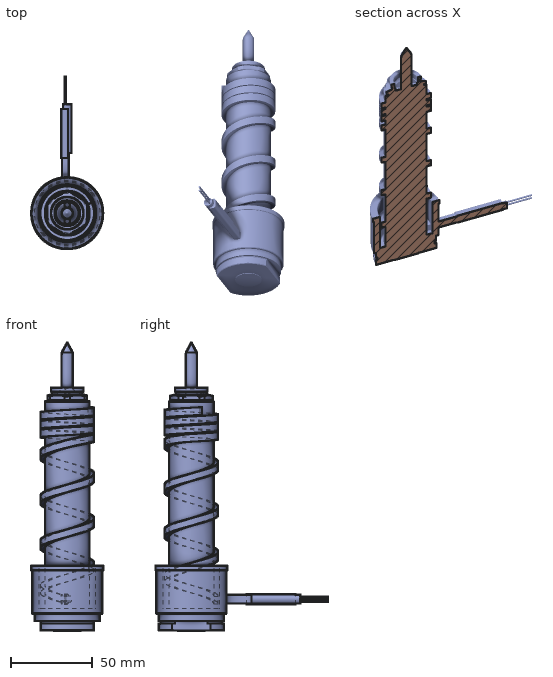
import math

import cadquery as cq

PAD_HEIGHT = 0.3
FOOT_TOP = 4.7
FOOT_GROOVE_TOP = 6.1
COLLAR_TOP = 10.6
CUP_FLOOR = 14.0
RIM_BOTTOM = 37.1
CUP_TOP = 40.2
TUBE_TOP = 140.4
HEX_BOTTOM = 141.0
HEX_SHOULDER = 143.6
HEX_TOP = 144.4
NECK_TOP = 146.0
FLOOR_CONE_TOP = 147.9
HEAD_TOP = 148.6
PIN_BAND_BOTTOM = 169.1
PIN_CONE_BOTTOM = 170.2
PIN_TIP = 176.3

PAD_RADIUS = 8.1
FOOT_RADIUS = 20.0
FOOT_GROOVE_RADIUS = 19.0
COLLAR_RADIUS = 20.0
CUP_RADIUS = 21.5
RIM_RADIUS = 22.0
CUP_BORE_RADIUS = 17.3
TUBE_RADIUS = 13.7
HEX_NECK_RADIUS = 12.0
HEX_CORNER_RADIUS = 13.1
NECK_RADIUS = 9.4
HEAD_RADIUS = 10.0
HEAD_BORE_RADIUS = 7.5
PIN_RADIUS = 3.5
PIN_CONE_RADIUS = 3.3

EDGE_CHAMFER = 0.4
RIM_CHAMFER = 0.3
FOOT_FLAT_WIDTH = 32.4
HEX_FLAT_WIDTH = 24.2

FLOOR_HOLE_RADIUS = 1.8
FLOOR_HOLE_OFFSET = 5.0
FLOOR_HOLE_DEPTH = 6.0

SPRING_OUTER_RADIUS = 16.4
SPRING_OVERLAP = 0.4
SPRING_INNER_RADIUS = TUBE_RADIUS - SPRING_OVERLAP
SPRING_BAND_HEIGHT = 4.7
TIGHT_PITCH = 5.35
OPEN_PITCH = 27.3
TIGHT_TURNS = 3 + 23 / 360
BLEND_TURNS = 0.3
OPEN_TURNS = 3.45
TIGHT_START_HEIGHT = 118.0
SPRING_POINTS_PER_TURN = 24

CABLE_HEIGHT = 19.6
CABLE_X = -1.15
CABLE_SIZE = (4.2, 5.4)
CABLE_CORNER_RADIUS = 0.9
CABLE_START_Y = 19.0
SLEEVE_LENGTH = 30.0
OUTER_SLEEVE_START_Y = 33.6
OUTER_SLEEVE_X = -1.55
OUTER_SLEEVE_SIZE = (4.2, 6.4)
OUTER_SLEEVE_CORNER_RADIUS = 1.0
ROUND_SLEEVE_START_Y = 36.6
ROUND_SLEEVE_RADIUS = 2.7
WIRE_RADIUS = 0.55
WIRE_SPACING = 2.3
WIRE_END_Y = 83.5


def cylinder(radius, bottom, top):
    return cq.Workplane("XY").workplane(offset=bottom).circle(radius).extrude(top - bottom)


def make_base():
    """Foot with two wrench flats, collar and the cup that holds the spring."""
    foot = cylinder(FOOT_RADIUS, PAD_HEIGHT, FOOT_TOP).faces("<Z").chamfer(EDGE_CHAMFER)
    foot = foot.union(cylinder(FOOT_GROOVE_RADIUS, FOOT_TOP, FOOT_GROOVE_TOP))
    flats = cq.Workplane("XY").box(
        FOOT_FLAT_WIDTH, 2 * FOOT_RADIUS, FOOT_GROOVE_TOP, centered=(True, True, False)
    )
    base = foot.intersect(flats)
    base = base.union(cylinder(PAD_RADIUS, 0, PAD_HEIGHT))
    base = base.union(cylinder(COLLAR_RADIUS, FOOT_GROOVE_TOP, COLLAR_TOP))
    cup = cylinder(CUP_RADIUS, COLLAR_TOP, RIM_BOTTOM).faces("<Z").chamfer(EDGE_CHAMFER)
    base = base.union(cup)
    rim = cylinder(RIM_RADIUS, RIM_BOTTOM, CUP_TOP).edges().chamfer(RIM_CHAMFER)
    base = base.union(rim).cut(cylinder(CUP_BORE_RADIUS, CUP_FLOOR, CUP_TOP))
    bore_mouth = cq.selectors.RadiusNthSelector(0)
    return base.faces(">Z").edges(bore_mouth).chamfer(EDGE_CHAMFER)


def make_tube():
    tube = cylinder(TUBE_RADIUS, CUP_FLOOR, TUBE_TOP).faces(">Z").chamfer(EDGE_CHAMFER)
    return tube.union(cylinder(HEX_NECK_RADIUS, TUBE_TOP, HEX_BOTTOM))


def make_hex():
    """Hexagon with corners on +Y and -Y, turned down at the corners and coned on top."""
    across_corners = HEX_FLAT_WIDTH / math.cos(math.pi / 6)
    prism = (
        cq.Workplane("XY")
        .workplane(offset=HEX_BOTTOM)
        .transformed(rotate=(0, 0, 90))
        .polygon(6, across_corners)
        .extrude(HEX_TOP - HEX_BOTTOM)
    )
    turned = (
        cq.Workplane("XZ")
        .moveTo(0, HEX_BOTTOM)
        .lineTo(HEX_CORNER_RADIUS, HEX_BOTTOM)
        .lineTo(HEX_CORNER_RADIUS, HEX_SHOULDER)
        .lineTo(HEAD_RADIUS, HEX_TOP)
        .lineTo(0, HEX_TOP)
        .close()
        .revolve(360, (0, 0, 0), (0, 1, 0))
    )
    return prism.intersect(turned)


def make_head():
    """Hollow head whose floor is a 45 degree cone rising to the foot of the pin."""
    floor = FLOOR_CONE_TOP - (HEAD_BORE_RADIUS - PIN_RADIUS)
    profile = (
        cq.Workplane("XZ")
        .moveTo(0, HEX_BOTTOM)
        .lineTo(NECK_RADIUS, HEX_BOTTOM)
        .lineTo(NECK_RADIUS, NECK_TOP)
        .lineTo(HEAD_RADIUS - EDGE_CHAMFER, NECK_TOP)
        .lineTo(HEAD_RADIUS, NECK_TOP + EDGE_CHAMFER)
        .lineTo(HEAD_RADIUS, HEAD_TOP)
        .lineTo(HEAD_BORE_RADIUS + EDGE_CHAMFER, HEAD_TOP)
        .lineTo(HEAD_BORE_RADIUS, HEAD_TOP - EDGE_CHAMFER)
        .lineTo(HEAD_BORE_RADIUS, floor)
        .lineTo(PIN_RADIUS, FLOOR_CONE_TOP)
        .lineTo(0, FLOOR_CONE_TOP)
        .close()
    )
    return profile.revolve(360, (0, 0, 0), (0, 1, 0))


def make_floor_holes():
    return (
        cq.Workplane("XY")
        .workplane(offset=HEAD_TOP - FLOOR_HOLE_DEPTH)
        .pushPoints([(0, FLOOR_HOLE_OFFSET), (0, -FLOOR_HOLE_OFFSET)])
        .circle(FLOOR_HOLE_RADIUS)
        .extrude(FLOOR_HOLE_DEPTH)
    )


def make_pin():
    return (
        cq.Workplane("XZ")
        .moveTo(0, HEX_BOTTOM)
        .lineTo(PIN_RADIUS, HEX_BOTTOM)
        .lineTo(PIN_RADIUS, PIN_BAND_BOTTOM)
        .lineTo(PIN_CONE_RADIUS, PIN_CONE_BOTTOM)
        .lineTo(0, PIN_TIP)
        .close()
        .revolve(360, (0, 0, 0), (0, 1, 0))
    )


def spring_height(turns):
    """Mid-height of the spring band; turn 0 is where the tight coils begin, on the +X side."""
    if turns >= 0:
        return TIGHT_START_HEIGHT + TIGHT_PITCH * turns
    blend = max(turns, -BLEND_TURNS)
    pitch_growth = (OPEN_PITCH - TIGHT_PITCH) / BLEND_TURNS
    blended = TIGHT_START_HEIGHT + TIGHT_PITCH * blend - pitch_growth * blend**2 / 2
    return blended + OPEN_PITCH * (turns - blend)


def spring_edge(radius, height_shift):
    """One corner curve of the spring band, from the bottom end to the top end."""
    total_turns = OPEN_TURNS + BLEND_TURNS + TIGHT_TURNS
    steps = math.ceil(total_turns * SPRING_POINTS_PER_TURN)
    points = []
    for step in range(steps + 1):
        turns = total_turns * step / steps - OPEN_TURNS - BLEND_TURNS
        angle = 2 * math.pi * turns
        x = radius * math.cos(angle)
        y = radius * math.sin(angle)
        points.append(cq.Vector(x, y, spring_height(turns) + height_shift))
    return cq.Edge.makeSpline(points)


def make_spring():
    """Rectangular band bounded by four ruled helical faces and two flat ends."""
    half_band = SPRING_BAND_HEIGHT / 2
    corners = [
        spring_edge(SPRING_INNER_RADIUS, -half_band),
        spring_edge(SPRING_OUTER_RADIUS, -half_band),
        spring_edge(SPRING_OUTER_RADIUS, half_band),
        spring_edge(SPRING_INNER_RADIUS, half_band),
    ]
    faces = []
    for first, second in zip(corners, corners[1:] + corners[:1]):
        faces.append(cq.Face.makeRuledSurface(first, second))
    for end in (0, 1):
        outline = cq.Wire.makePolygon([edge.positionAt(end) for edge in corners], close=True)
        faces.append(cq.Face.makeFromWires(outline))
    return cq.Workplane(cq.Solid.makeSolid(cq.Shell.makeShell(faces)))


def rounded_bar(size, corner_radius, x, start_y, end_y):
    width, height = size
    return (
        cq.Workplane("XY")
        .box(width, end_y - start_y, height, centered=(True, False, True))
        .edges("|Y")
        .fillet(corner_radius)
        .translate((x, start_y, CABLE_HEIGHT))
    )


def round_bar(radius, x, z, start_y, end_y):
    return cq.Workplane("XZ", origin=(x, start_y, z)).circle(radius).extrude(start_y - end_y)


def make_cable():
    """Flat cable with two overlapping sleeves and two bare wires at its end."""
    outer_end = OUTER_SLEEVE_START_Y + SLEEVE_LENGTH
    round_end = ROUND_SLEEVE_START_Y + SLEEVE_LENGTH
    cable = rounded_bar(CABLE_SIZE, CABLE_CORNER_RADIUS, CABLE_X, CABLE_START_Y, outer_end)
    outer_sleeve = rounded_bar(
        OUTER_SLEEVE_SIZE, OUTER_SLEEVE_CORNER_RADIUS, OUTER_SLEEVE_X, OUTER_SLEEVE_START_Y, outer_end
    )
    cable = cable.union(outer_sleeve)
    cable = cable.union(
        round_bar(ROUND_SLEEVE_RADIUS, 0, CABLE_HEIGHT, ROUND_SLEEVE_START_Y, round_end)
    )
    for side in (-1, 1):
        wire_z = CABLE_HEIGHT + side * WIRE_SPACING / 2
        cable = cable.union(round_bar(WIRE_RADIUS, CABLE_X, wire_z, outer_end, WIRE_END_Y))
    return cable


head = make_hex().union(make_head()).cut(make_floor_holes())
result = make_base().union(make_tube()).union(head).union(make_pin())
result = result.union(make_cable()).union(make_spring())